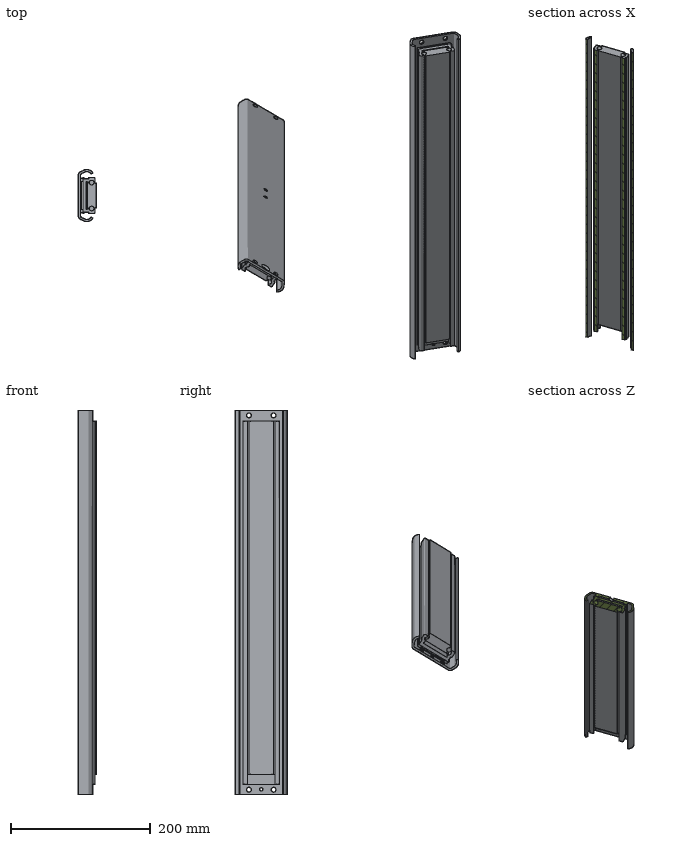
import cadquery as cq
import math

OUTER_LENGTH = 550.0
RAIL_TOP = 534.5
MIDDLE_BOTTOM = 15.0
INNER_BOTTOM = 29.0

OUTER_WIDTH = 75.0
OUTER_THICKNESS = 3.5
BEND_RADIUS = 5.5
SLOPE_ANGLE = 25.0
SLOPE_LENGTH = 5.5
LIP_RADIUS = 10.0
LIP_END_ANGLE = 62.0

LAND_HALF_WIDTH = 25.0
LAND_FRONT = 6.5
LAND_GROOVE_HALF_WIDTH = 20.0
LAND_GROOVE_DEPTH = 1.5

CORNER_HOLE_RADIUS = 3.5
CORNER_HOLE_Y = 17.5
CORNER_HOLE_END_GAP = 7.0
CENTRE_HOLE_RADIUS = 3.0
CENTRE_HOLE_HEIGHTS = (249.5, 274.5)
SINK_HEIGHT = 7.5
SINK_RADIUS = 6.5
SINK_DEPTH = 2.0
SINK_HOLE_RADIUS = 2.0

MIDDLE_BACK = LAND_FRONT
RIDGE_FRONT = 8.0
MIDDLE_WEB_FRONT = 11.5
FLANGE_STEP_X = 15.0
MIDDLE_FRONT = 24.0
NECK_HALF_WIDTH = 24.0
NECK_DEPTH = 1.5
MIDDLE_HALF_WIDTH = NECK_HALF_WIDTH + NECK_DEPTH
FLANGE_TIP_FILLET = 1.5

INNER_BACK = 13.0
INNER_FRONT = 26.0
INNER_HALF_WIDTH = 17.5
GUIDE_GAP = 1.9
CHANNEL_HALF_WIDTH = INNER_HALF_WIDTH + GUIDE_GAP

BEAD_RADIUS = 3.5
BEAD_X = 19.0
BEAD_Y = INNER_HALF_WIDTH + GUIDE_GAP / 2


def prism(sketch, bottom, top):
    """Extrude a closed XY sketch between two heights."""
    return sketch.extrude(top - bottom).translate((0, 0, bottom))


def box(x_range, y_range, z_range):
    """Block given by its limits along each axis."""
    (x0, x1), (y0, y1), (z0, z1) = x_range, y_range, z_range
    return cq.Workplane("XY").box(x1 - x0, y1 - y0, z1 - z0, centered=False).translate((x0, y0, z0))


def web_hole(radius, y, z):
    """Cutter along X through the outer web and its land."""
    return cq.Workplane("YZ").center(y, z).circle(radius).extrude(LAND_FRONT)


def polar(centre, radius, angle):
    """Point at an angle in degrees from +Y, turning towards +X."""
    turn = math.radians(angle)
    return (centre[0] + radius * math.sin(turn), centre[1] + radius * math.cos(turn))


def outer_section_half():
    """Upper half (Y > 0) of the C section."""
    slope = math.radians(SLOPE_ANGLE)
    lip_centre = (
        BEND_RADIUS + (LIP_RADIUS - BEND_RADIUS) * math.sin(slope) + SLOPE_LENGTH * math.cos(slope),
        OUTER_WIDTH / 2 - LIP_RADIUS,
    )
    bend_centre = (
        BEND_RADIUS,
        lip_centre[1] + (LIP_RADIUS - BEND_RADIUS) * math.cos(slope) - SLOPE_LENGTH * math.sin(slope),
    )
    bend_inside = BEND_RADIUS - OUTER_THICKNESS
    lip_inside = LIP_RADIUS - OUTER_THICKNESS
    bend_middle_angle = -(90 + SLOPE_ANGLE) / 2
    lip_middle_angle = (LIP_END_ANGLE - SLOPE_ANGLE) / 2
    return (
        cq.Workplane("XY")
        .moveTo(0, 0)
        .lineTo(*polar(bend_centre, BEND_RADIUS, -90))
        .threePointArc(
            polar(bend_centre, BEND_RADIUS, bend_middle_angle), polar(bend_centre, BEND_RADIUS, -SLOPE_ANGLE)
        )
        .lineTo(*polar(lip_centre, LIP_RADIUS, -SLOPE_ANGLE))
        .threePointArc(
            polar(lip_centre, LIP_RADIUS, lip_middle_angle), polar(lip_centre, LIP_RADIUS, LIP_END_ANGLE)
        )
        .lineTo(*polar(lip_centre, lip_inside, LIP_END_ANGLE))
        .threePointArc(
            polar(lip_centre, lip_inside, lip_middle_angle), polar(lip_centre, lip_inside, -SLOPE_ANGLE)
        )
        .lineTo(*polar(bend_centre, bend_inside, -SLOPE_ANGLE))
        .threePointArc(
            polar(bend_centre, bend_inside, bend_middle_angle), polar(bend_centre, bend_inside, -90)
        )
        .lineTo(OUTER_THICKNESS, 0)
        .close()
    )


def make_outer_rail():
    half = prism(outer_section_half(), 0, OUTER_LENGTH)
    rail = half.union(half.mirror("XZ")).clean()
    land = box(
        (OUTER_THICKNESS, LAND_FRONT), (-LAND_HALF_WIDTH, LAND_HALF_WIDTH), (MIDDLE_BOTTOM, RAIL_TOP)
    )
    land_groove = box(
        (LAND_FRONT - LAND_GROOVE_DEPTH, LAND_FRONT),
        (-LAND_GROOVE_HALF_WIDTH, LAND_GROOVE_HALF_WIDTH),
        (MIDDLE_BOTTOM, RAIL_TOP),
    )
    rail = rail.union(land.cut(land_groove))
    for z in (CORNER_HOLE_END_GAP, OUTER_LENGTH - CORNER_HOLE_END_GAP):
        for y in (-CORNER_HOLE_Y, CORNER_HOLE_Y):
            rail = rail.cut(web_hole(CORNER_HOLE_RADIUS, y, z))
    for z in CENTRE_HOLE_HEIGHTS:
        rail = rail.cut(web_hole(CENTRE_HOLE_RADIUS, 0, z))
    countersink = cq.Solid.makeCone(
        SINK_RADIUS, SINK_HOLE_RADIUS, SINK_DEPTH, pnt=cq.Vector(0, 0, SINK_HEIGHT), dir=cq.Vector(1, 0, 0)
    )
    return rail.cut(cq.Workplane(countersink)).cut(web_hole(SINK_HOLE_RADIUS, 0, SINK_HEIGHT))


def make_guide(side):
    """Guide strip on the +Y (side = 1) or -Y (side = -1) side."""
    strip = box(
        (INNER_BACK, MIDDLE_FRONT), (INNER_HALF_WIDTH, CHANNEL_HALF_WIDTH), (INNER_BOTTOM, RAIL_TOP)
    )
    bead = prism(cq.Workplane("XY").center(BEAD_X, BEAD_Y).circle(BEAD_RADIUS), INNER_BOTTOM, RAIL_TOP)
    guide = strip.union(bead)
    return guide if side > 0 else guide.mirror("XZ")


def bead_groove(side):
    """Full-length cutter that seats the bead of one guide."""
    return prism(
        cq.Workplane("XY").center(BEAD_X, side * BEAD_Y).circle(BEAD_RADIUS), MIDDLE_BOTTOM, RAIL_TOP
    )


def make_middle_rail():
    half_section = (
        cq.Workplane("XY")
        .moveTo(MIDDLE_BACK, 0)
        .lineTo(MIDDLE_BACK, MIDDLE_HALF_WIDTH)
        .lineTo(RIDGE_FRONT, MIDDLE_HALF_WIDTH)
        .lineTo(RIDGE_FRONT, NECK_HALF_WIDTH)
        .lineTo(FLANGE_STEP_X, NECK_HALF_WIDTH)
        .lineTo(FLANGE_STEP_X, MIDDLE_HALF_WIDTH)
        .lineTo(MIDDLE_FRONT, MIDDLE_HALF_WIDTH)
        .lineTo(MIDDLE_FRONT, CHANNEL_HALF_WIDTH)
        .lineTo(MIDDLE_WEB_FRONT, CHANNEL_HALF_WIDTH)
        .lineTo(MIDDLE_WEB_FRONT, 0)
        .close()
    )
    half = prism(half_section, MIDDLE_BOTTOM, RAIL_TOP)
    half = half.edges("|Z").edges(">X").edges(">Y").fillet(FLANGE_TIP_FILLET)
    half = half.cut(bead_groove(1))
    return half.union(half.mirror("XZ")).clean()


def make_inner_rail():
    rail = box(
        (INNER_BACK, INNER_FRONT), (-INNER_HALF_WIDTH, INNER_HALF_WIDTH), (INNER_BOTTOM, RAIL_TOP)
    )
    for side in (-1, 1):
        rail = rail.cut(bead_groove(side))
    return rail


outer_rail = make_outer_rail()
middle_rail = make_middle_rail()
inner_rail = make_inner_rail()
guides = [make_guide(side) for side in (-1, 1)]

result = cq.Compound.makeCompound(
    [outer_rail.val(), middle_rail.val(), inner_rail.val(), *[guide.val() for guide in guides]]
)